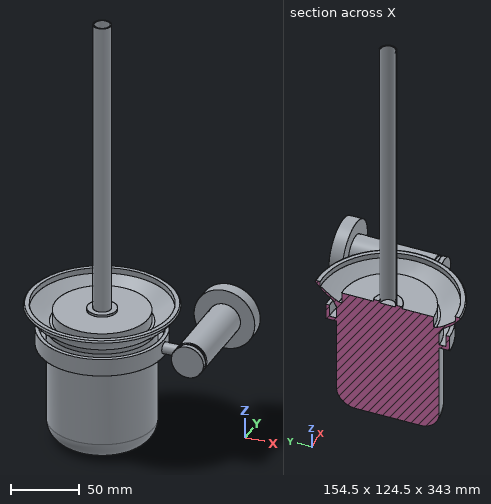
import cadquery as cq

total_height = 343.0

cup_radius = 40.8
cup_bottom_fillet = 15.5

dish_top = 110.8
dish_radius = 57.5
lip_edge_height = 1.5
lip_chamfer = 1.0
lip_inner_radius = 53.0
lip_inner_depth = 4.5
dish_floor = 96.0
dish_floor_radius = 38.5
neck_radius = 43.5
dish_bulge_radius = 52.5
dish_bulge_height = 103.0
dish_wall = 3.0

ring_radius = 49.0
ring_bottom = 77.2
ring_top = 91.0
ring_recess_radius = 46.0
ring_floor_thickness = 3.5

lid_radius = 36.5
lid_top = 105.3
collar_radius = 11.3
collar_height = 1.7
handle_radius = 7.0
handle_bore_radius = 6.0

mount_x = 73.0
mount_z = (ring_bottom + ring_top) / 2
plate_radius = 24.0
plate_back = 67.0
plate_thickness = 10.5
post_radius = 12.7
post_front = -14.0
groove_front = -10.3
groove_width = 2.7
groove_depth = 1.0
link_radius = 4.5


def disc(radius, bottom, top):
    """Upright cylinder on the cup axis between two heights."""
    return cq.Workplane("XY").workplane(offset=bottom).circle(radius).extrude(top - bottom)


def mount_disc(radius, front, back):
    """Cylinder along Y on the wall mount axis between two Y positions."""
    plane = cq.Plane(origin=(mount_x, front, mount_z), xDir=(1, 0, 0), normal=(0, 1, 0))
    return cq.Workplane(plane).circle(radius).extrude(back - front)


def make_cup():
    return disc(cup_radius, 0, ring_top).faces("<Z").edges().fillet(cup_bottom_fillet)


def make_ring():
    """Ring with an annular gap around the cup, joined to it by a thin floor."""
    ring = disc(ring_radius, ring_bottom, ring_top)
    return ring.cut(disc(ring_recess_radius, ring_bottom + ring_floor_thickness, ring_top))


def make_dish():
    lip_edge = dish_top - lip_edge_height
    profile = (
        cq.Workplane("XZ")
        .moveTo(0, ring_top)
        .lineTo(cup_radius, ring_top)
        .lineTo(neck_radius, dish_floor)
        .threePointArc((dish_bulge_radius, dish_bulge_height), (dish_radius, lip_edge))
        .lineTo(dish_radius - lip_chamfer, dish_top)
        .lineTo(lip_inner_radius, dish_top)
        .lineTo(lip_inner_radius, dish_top - lip_inner_depth)
        .threePointArc(
            (dish_bulge_radius - dish_wall, dish_bulge_height), (dish_floor_radius, dish_floor)
        )
        .lineTo(0, dish_floor)
        .close()
    )
    return profile.revolve(360, (0, 0, 0), (0, 1, 0))


def make_lid_and_handle():
    lid = disc(lid_radius, dish_floor, lid_top)
    collar = disc(collar_radius, lid_top, lid_top + collar_height)
    handle = disc(handle_radius, lid_top, total_height)
    bore = disc(handle_bore_radius, lid_top, total_height)
    return lid.union(collar).union(handle).cut(bore)


def make_wall_mount():
    plate_front = plate_back - plate_thickness
    plate = mount_disc(plate_radius, plate_front, plate_back)
    post = mount_disc(post_radius, post_front, plate_front)
    groove_back = groove_front + groove_width
    groove = mount_disc(post_radius, groove_front, groove_back).cut(
        mount_disc(post_radius - groove_depth, groove_front, groove_back)
    )
    link_start = (ring_recess_radius + ring_radius) / 2
    link = (
        cq.Workplane("YZ", origin=(link_start, 0, mount_z))
        .circle(link_radius)
        .extrude(mount_x - link_start)
    )
    return plate.union(post.cut(groove)).union(link)


result = (
    make_cup()
    .union(make_ring())
    .union(make_dish())
    .union(make_lid_and_handle())
    .union(make_wall_mount())
)